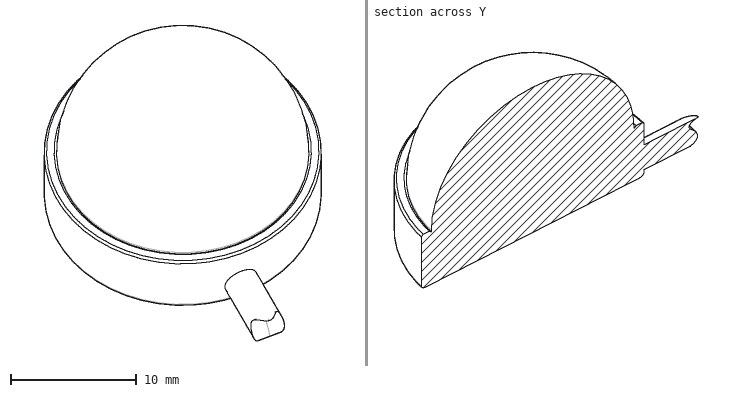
import cadquery as cq
import math

diagonal = math.sqrt(0.5)

housing_radius = 11.0
housing_height = 6.0
top_chamfer = 0.2
bottom_round = 0.4

total_height = 16.0
dome_radius = total_height - housing_height
groove_size = 0.2

total_length = 27.35
cable_radius = 1.4
cable_height = 2.05
cable_tip = total_length - housing_radius

hollow_depth = 0.85
hollow_rise = 0.6
bend_setback = 0.38
bend_rise = 0.08
bulge_setback = 0.08
bulge_drop = 0.52
bottom_setback = 0.8

clearance = 0.27


def make_body():
    """Revolve the housing, the V groove and the dome in one profile."""
    bottom_radius = housing_radius - bottom_round
    round_middle = bottom_round * (1 - diagonal)
    rim_radius = housing_radius - top_chamfer
    groove_bottom = housing_height - groove_size
    dome_middle = dome_radius * diagonal
    profile = (
        cq.Workplane("XZ")
        .lineTo(bottom_radius, 0)
        .threePointArc((housing_radius - round_middle, round_middle), (housing_radius, bottom_round))
        .lineTo(housing_radius, housing_height - top_chamfer)
        .lineTo(rim_radius, housing_height)
        .lineTo(dome_radius + groove_size, housing_height)
        .lineTo(dome_radius, groove_bottom)
        .lineTo(dome_radius, housing_height)
        .threePointArc((dome_middle, housing_height + dome_middle), (0, total_height))
        .close()
    )
    return profile.revolve(360, (0, 0, 0), (0, 1, 0))


def make_cable():
    """Trim a round cable with its side outline, which ends in the S-shaped break."""
    cable_top = cable_height + cable_radius
    cable_bottom = cable_height - cable_radius
    break_points = [
        (cable_tip - hollow_depth, cable_height + hollow_rise),
        (cable_tip - bend_setback, cable_height + bend_rise),
        (cable_tip - bulge_setback, cable_height - bulge_drop),
        (cable_tip - bottom_setback, cable_bottom),
    ]
    outline = (
        cq.Workplane("XZ")
        .moveTo(0, cable_bottom - clearance)
        .lineTo(0, cable_top + clearance)
        .lineTo(cable_tip, cable_top + clearance)
        .lineTo(cable_tip, cable_top)
        .spline(break_points, includeCurrent=True)
        .lineTo(cable_tip - bottom_setback, cable_bottom - clearance)
        .close()
        .extrude(cable_radius + clearance, both=True)
    )
    cable = (
        cq.Workplane("YZ")
        .center(0, cable_height)
        .circle(cable_radius)
        .extrude(cable_tip)
    )
    return cable.intersect(outline)


result = make_body().union(make_cable())